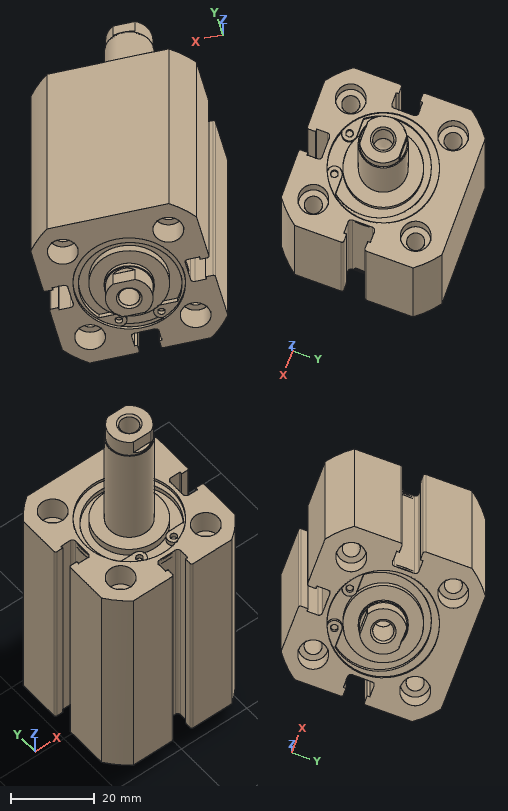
import cadquery as cq
import math

HOUSING_LENGTH = 63.0
TOP_PROJECTION = 36.0
TOTAL_LENGTH = 105.0
BOTTOM_PROJECTION = TOTAL_LENGTH - HOUSING_LENGTH - TOP_PROJECTION
MID_PLANE = HOUSING_LENGTH / 2

HOUSING_WIDTH = 41.0
HOUSING_CORNER_RADIUS = 25.4
BORE_RADIUS = 13.4

BOLT_SPACING = 26.0
BOLT_DIAMETER = 4.3
BOLT_HEAD_DIAMETER = 7.4
BOLT_HEAD_DEPTH = 7.0

SLOT_NECK_WIDTH = 5.4
SLOT_WIDTH = 6.7
SLOT_NECK_DEPTH = 2.3
SIDE_SLOT_FLOOR = 14.5
FRONT_SLOT_FLOOR = 14.6
SLOT_FLOOR_FILLET = 0.8
SLOT_LIP_FILLET = 0.5

RING_GROOVE_DEPTH = 0.98
RING_RADIUS = BORE_RADIUS + RING_GROOVE_DEPTH
RING_THICKNESS = 1.4
RING_DEPTH = 0.8
RING_INNER_RADIUS = 12.4
RING_INNER_SHIFT = 0.9
EAR_X = 5.2
EAR_Y = 10.5
EAR_RADIUS = 1.9
EAR_HOLE_RADIUS = 0.89

GUIDE_BOSS_RADIUS = 9.7
GUIDE_FLANGE_DEPTH = RING_DEPTH + RING_THICKNESS
GUIDE_LENGTH = 10.5

ROD_RADIUS = 6.0
ROD_STEP = 0.29
ROD_TIP_RADIUS = ROD_RADIUS - ROD_STEP
ROD_TIP_LENGTH = 4.9
FLAT_LENGTH = 4.0
FLAT_WIDTH = 10.0
FLAT_SHOULDER_DROP = 0.6
THREAD_RADIUS = 2.5
THREAD_DEPTH = 12.0
THREAD_MOUTH_RADIUS = 3.0
THREAD_TIP_ANGLE = 118.0


def cylinder(radius, z_low, z_high):
    return cq.Workplane("XY").workplane(offset=z_low).circle(radius).extrude(z_high - z_low)


def mirrored(body):
    """Copy of a body at the top end, placed at the bottom end."""
    return body.mirror("XY", (0, 0, MID_PLANE))


def make_slot(floor_offset):
    """T-slot cutter along the -Y side, flared at the mouth so that the lips come out rounded."""
    side = -HOUSING_WIDTH / 2
    neck_top = side + SLOT_NECK_DEPTH
    neck_x = SLOT_NECK_WIDTH / 2
    mouth_x = neck_x + SLOT_LIP_FILLET
    lip_y = side + SLOT_LIP_FILLET
    lip_mid = SLOT_LIP_FILLET * (1 - math.sqrt(0.5))
    neck = (
        cq.Workplane("XY").moveTo(-mouth_x, side)
        .threePointArc((-neck_x - lip_mid, side + lip_mid), (-neck_x, lip_y))
        .lineTo(-neck_x, neck_top).lineTo(neck_x, neck_top).lineTo(neck_x, lip_y)
        .threePointArc((neck_x + lip_mid, side + lip_mid), (mouth_x, side))
        .close().extrude(HOUSING_LENGTH)
    )
    wide_depth = -floor_offset - neck_top
    wide = cq.Workplane("XY").center(0, neck_top + wide_depth / 2).rect(SLOT_WIDTH, wide_depth)
    wide = wide.extrude(HOUSING_LENGTH).edges("|Z and >Y").fillet(SLOT_FLOOR_FILLET)
    return wide.union(neck)


def make_housing():
    housing = cq.Workplane("XY").rect(HOUSING_WIDTH, HOUSING_WIDTH).extrude(HOUSING_LENGTH)
    housing = housing.intersect(cylinder(HOUSING_CORNER_RADIUS, 0, HOUSING_LENGTH))
    housing = housing.cut(cylinder(BORE_RADIUS, 0, HOUSING_LENGTH))

    groove = cylinder(RING_RADIUS, HOUSING_LENGTH - GUIDE_FLANGE_DEPTH, HOUSING_LENGTH - RING_DEPTH)
    housing = housing.cut(groove).cut(mirrored(groove))

    housing = housing.cut(make_slot(FRONT_SLOT_FLOOR))
    side_slot = make_slot(SIDE_SLOT_FLOOR)
    for angle in (-90, 90):
        housing = housing.cut(side_slot.rotate((0, 0, 0), (0, 0, 1), angle))

    for face in (">Z", "<Z"):
        housing = (
            housing.faces(face).workplane(origin=(0, 0, 0))
            .rect(BOLT_SPACING, BOLT_SPACING, forConstruction=True).vertices()
            .cboreHole(BOLT_DIAMETER, BOLT_HEAD_DIAMETER, BOLT_HEAD_DEPTH)
        )
    return housing


def make_guide():
    """Rod guide at the top end: a disc in the bore with a boss that passes through the ring."""
    flange_top = HOUSING_LENGTH - GUIDE_FLANGE_DEPTH
    disc = cylinder(BORE_RADIUS, HOUSING_LENGTH - GUIDE_LENGTH, flange_top)
    boss = cylinder(GUIDE_BOSS_RADIUS, flange_top, HOUSING_LENGTH)
    rod_hole = cylinder(ROD_RADIUS, 0, HOUSING_LENGTH)
    return disc.union(boss).cut(rod_hole)


def ring_block(x_center, y_top, width, z_low):
    """Block as thick as the ring, reaching from y_top forward past the ring's front edge."""
    return (
        cq.Workplane("XY").workplane(offset=z_low)
        .center(x_center, y_top - RING_RADIUS / 2).rect(width, RING_RADIUS).extrude(RING_THICKNESS)
    )


def make_ring():
    """Retaining ring at the top end: thins towards its open front, which ends in two ears."""
    z_low = HOUSING_LENGTH - GUIDE_FLANGE_DEPTH
    z_high = z_low + RING_THICKNESS
    disc = cylinder(RING_RADIUS, z_low, z_high)
    opening = cylinder(RING_INNER_RADIUS, z_low, z_high).translate((0, -RING_INNER_SHIFT, 0))
    gap = ring_block(0, -EAR_Y, 2 * EAR_X, z_low)
    ring = disc.cut(opening).cut(gap)

    for side in (-1, 1):
        ear_center = (side * EAR_X, -EAR_Y, 0)
        ear = cylinder(EAR_RADIUS, z_low, z_high).translate(ear_center)
        web_x = side * (EAR_X + RING_RADIUS / 2)
        web = ring_block(web_x, EAR_RADIUS - EAR_Y, RING_RADIUS, z_low)
        hole = cylinder(EAR_HOLE_RADIUS, z_low, z_high).translate(ear_center)
        ring = ring.union(ear.union(web).intersect(disc)).cut(hole)
    return ring


def make_threaded_hole():
    """Cutter for the blind hole in the top end of the rod."""
    top = HOUSING_LENGTH + TOP_PROJECTION
    floor = top - THREAD_DEPTH
    tip = floor - THREAD_RADIUS / math.tan(math.radians(THREAD_TIP_ANGLE / 2))
    mouth = top - (THREAD_MOUTH_RADIUS - THREAD_RADIUS)
    profile = [
        (0, tip),
        (THREAD_RADIUS, floor),
        (THREAD_RADIUS, mouth),
        (THREAD_MOUTH_RADIUS, top),
        (0, top),
    ]
    return cq.Workplane("XZ").polyline(profile).close().revolve(360, (0, 0), (0, 1))


def make_flats():
    """Cutter for the two wrench flats at the top end of the rod, each ending in a sloped shoulder."""
    top = HOUSING_LENGTH + TOP_PROJECTION
    shoulder = top - FLAT_LENGTH
    profile = [
        (FLAT_WIDTH / 2, top),
        (FLAT_WIDTH / 2, shoulder),
        (ROD_RADIUS, shoulder - FLAT_SHOULDER_DROP),
        (ROD_RADIUS, top),
    ]
    back = cq.Workplane("YZ").polyline(profile).close().extrude(ROD_RADIUS, both=True)
    return back.union(back.mirror("XZ"))


def make_rod():
    bottom = -BOTTOM_PROJECTION
    top = HOUSING_LENGTH + TOP_PROJECTION
    profile = [
        (0, bottom),
        (ROD_TIP_RADIUS, bottom),
        (ROD_TIP_RADIUS, bottom + ROD_TIP_LENGTH),
        (ROD_RADIUS, bottom + ROD_TIP_LENGTH),
        (ROD_RADIUS, top - ROD_TIP_LENGTH),
        (ROD_TIP_RADIUS, top - ROD_TIP_LENGTH),
        (ROD_TIP_RADIUS, top),
        (0, top),
    ]
    rod = cq.Workplane("XZ").polyline(profile).close().revolve(360, (0, 0), (0, 1))

    flats = make_flats()
    hole = make_threaded_hole()
    for cutter in (flats, hole):
        rod = rod.cut(cutter).cut(cutter.mirror("XY", (0, 0, (top + bottom) / 2)))
    return rod


housing = make_housing()
rod = make_rod()

bodies = [housing.val(), rod.val()]
for end_part in (make_guide(), make_ring()):
    for copy in (end_part, mirrored(end_part)):
        bodies.append(copy.val())

result = cq.Compound.makeCompound(bodies)